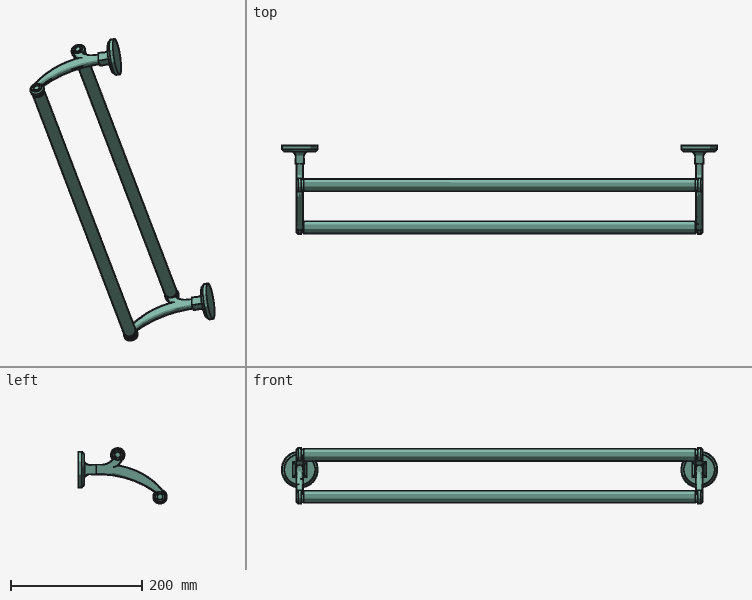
import cadquery as cq

OVERALL_LENGTH = 664.59
OVERALL_DEPTH = 135.55
OVERALL_HEIGHT = 84.99

ROSETTE_RADIUS = 27.5
ROSETTE_THICKNESS = 9.5
ROSETTE_CHAMFER = 4.0
ARM_X = OVERALL_LENGTH / 2 - ROSETTE_RADIUS

CAP_RADIUS = 10.5
CAP_FACE = -5.4
CAP_CONE_HEIGHT = 3.0
CAP_FACE_RADIUS = CAP_RADIUS - CAP_CONE_HEIGHT
CAP_FLANGE_END = 2.0
DIMPLE_RADIUS = 4.5
DIMPLE_DEPTH = 0.6
NECK_RADIUS = 8.5
COLLAR_START = 6.2
BAR_RADIUS = 9.5

UPPER_OUT = 60.5
UPPER_Z = 22.5
LOWER_OUT = OVERALL_DEPTH - CAP_RADIUS
LOWER_Z = UPPER_Z - (OVERALL_HEIGHT - 2 * CAP_RADIUS)
BAR_AXES = [(UPPER_OUT, UPPER_Z), (LOWER_OUT, LOWER_Z)]

ARM_WIDTH = 10.0
ARM_EDGE_RADIUS = 3.5
BRANCH_EDGE_RADIUS = 2.5
STEM_START = 20.5
STEM_HALF_HEIGHT = 7.5
BEND_START = 36.0

ARM_UNDERSIDE_MID = (-82.0, -16.0)
ARM_UNDERSIDE_END = (-120.0, -36.0)
ARM_TOP_MID = (-103.5, -9.5)
ARM_TOP_END = (-134.0, -38.0)

BRANCH_REAR_MID = (-47.5, 11.0)
BRANCH_REAR_END = (-56.0, 20.0)
BRANCH_FRONT_MID = (-62.5, 8.0)
BRANCH_FRONT_END = (-69.5, 22.0)
BRANCH_ROOT_Z = -4.0

FOOT_BASE_HALF_WIDTH = 11.0
FOOT_BASE_HALF_HEIGHT = 12.0
FOOT_TIP_HALF_WIDTH = 6.5
FOOT_TIP_HALF_HEIGHT = STEM_HALF_HEIGHT
SLEEVE_END = 28.0
FOOT_BULGE_OUT = 13.0
FOOT_BULGE_SHARE = 0.25


def make_rosette():
    """Round wall plate with a chamfered front rim."""
    plate = cq.Workplane("XZ").circle(ROSETTE_RADIUS).extrude(ROSETTE_THICKNESS)
    return plate.faces("<Y").chamfer(ROSETTE_CHAMFER)


def foot_profile(plane, base_half, tip_half, depth_half):
    """Prism whose two sides sweep in concavely from the rosette to the sleeve."""
    bulge_half = tip_half + FOOT_BULGE_SHARE * (base_half - tip_half)
    start = -ROSETTE_THICKNESS
    return (
        cq.Workplane(plane)
        .moveTo(start, -base_half)
        .threePointArc((-FOOT_BULGE_OUT, -bulge_half), (-STEM_START, -tip_half))
        .lineTo(-SLEEVE_END, -tip_half)
        .lineTo(-SLEEVE_END, tip_half)
        .lineTo(-STEM_START, tip_half)
        .threePointArc((-FOOT_BULGE_OUT, bulge_half), (start, base_half))
        .close()
        .extrude(depth_half, both=True)
    )


def make_foot():
    """Four-sided flare: the side profile crossed with the plan profile."""
    side = foot_profile("YZ", FOOT_BASE_HALF_HEIGHT, FOOT_TIP_HALF_HEIGHT, FOOT_BASE_HALF_WIDTH)
    plan = foot_profile("YX", FOOT_BASE_HALF_WIDTH, FOOT_TIP_HALF_WIDTH, FOOT_BASE_HALF_HEIGHT)
    return side.intersect(plan)


def extrude_arm_outline(outline, edge_radius):
    """Give a closed side outline the arm width and round its long edges."""
    blade = outline.close().extrude(ARM_WIDTH / 2, both=True)
    return blade.faces("<X or >X").edges("%CIRCLE or |Y").fillet(edge_radius)


def make_main_arm():
    """Long tapering blade that leaves the foot level and arcs down to the lower bar."""
    outline = (
        cq.Workplane("YZ")
        .moveTo(-STEM_START, -STEM_HALF_HEIGHT)
        .lineTo(-BEND_START, -STEM_HALF_HEIGHT)
        .threePointArc(ARM_UNDERSIDE_MID, ARM_UNDERSIDE_END)
        .lineTo(*ARM_TOP_END)
        .threePointArc(ARM_TOP_MID, (-BEND_START, STEM_HALF_HEIGHT))
        .lineTo(-STEM_START, STEM_HALF_HEIGHT)
    )
    return extrude_arm_outline(outline, ARM_EDGE_RADIUS)


def make_branch():
    """Short blade that curls up off the main arm to the upper bar."""
    outline = (
        cq.Workplane("YZ")
        .moveTo(-BEND_START, STEM_HALF_HEIGHT)
        .threePointArc(BRANCH_REAR_MID, BRANCH_REAR_END)
        .lineTo(*BRANCH_FRONT_END)
        .threePointArc(BRANCH_FRONT_MID, (-BEND_START, BRANCH_ROOT_Z))
    )
    return extrude_arm_outline(outline, BRANCH_EDGE_RADIUS)


def make_cap_and_half_bar(out, z):
    """Revolved end cap, neck and half of a bar, ending at the middle of the rail."""
    half_profile = [
        (CAP_FACE, 0),
        (CAP_FACE, CAP_FACE_RADIUS),
        (CAP_FACE + CAP_CONE_HEIGHT, CAP_RADIUS),
        (CAP_FLANGE_END, CAP_RADIUS),
        (CAP_FLANGE_END, NECK_RADIUS),
        (COLLAR_START, NECK_RADIUS),
        (COLLAR_START, BAR_RADIUS),
        (ARM_X, BAR_RADIUS),
        (ARM_X, 0),
    ]
    turned = cq.Workplane("XY").polyline(half_profile).close().revolve(360, (0, 0), (1, 0))
    return turned.translate((0, -out, z))


def make_dimple(out, z):
    """Shallow round recess cut into the outer face of an end cap."""
    disc = cq.Workplane("YZ").circle(DIMPLE_RADIUS).extrude(DIMPLE_DEPTH)
    return disc.translate((CAP_FACE, -out, z))


def make_left_half():
    """Everything left of the mid plane, placed with the arm at X = -ARM_X."""
    half = make_rosette().union(make_foot()).union(make_main_arm()).union(make_branch())
    for out, z in BAR_AXES:
        half = half.union(make_cap_and_half_bar(out, z)).cut(make_dimple(out, z))
    return half.translate((-ARM_X, 0, 0))


left_half = make_left_half()
result = left_half.union(left_half.mirror("YZ")).clean()